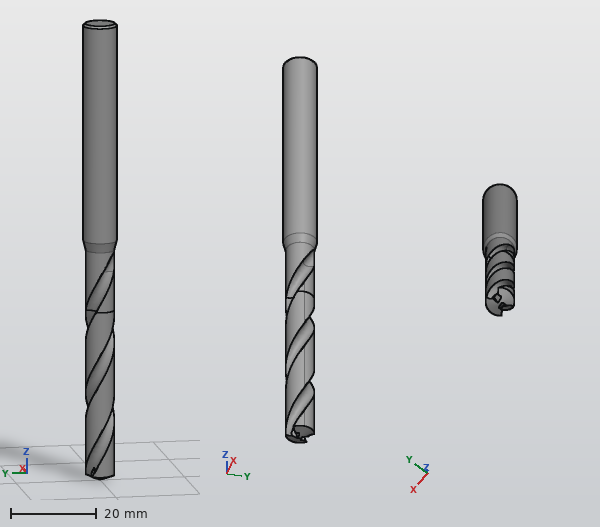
import cadquery as cq
import math

overall_length = 109.0
shank_diameter = 8.0
shank_bottom = 57.2
shank_chamfer = 0.5
neck_diameter = 6.8
neck_top = 54.9
cutting_top = 40.5
point_angle = 140.0

flute_count = 2
flute_pitch = 37.6
flute_radius = 1.9
flute_center_radius = 3.5
flute_end = 49.9
flute_runout = 6.0
flute_runout_lift = 1.4
flute_start_angle = -87.0

gash_height = 3.0
gash_near_side = -0.3
gash_far_side = 1.2
gash_web_half = 0.3
gash_top_depth = 1.5
gash_mouth = 2.4

shank_radius = shank_diameter / 2
neck_radius = neck_diameter / 2
point_height = neck_radius / math.tan(math.radians(point_angle / 2))
flute_spacing = 360.0 / flute_count


def make_flute(start_angle):
    """Helical flute cutter and the straight run-out that leaves it, leaning outward."""
    helix_turn = 360.0 * flute_end / flute_pitch
    helix = (
        cq.Workplane("XY")
        .moveTo(flute_center_radius, 0)
        .circle(flute_radius)
        .twistExtrude(flute_end, helix_turn)
        .rotate((0, 0, 0), (0, 0, 1), start_angle)
    )
    tangent_shift = 2 * math.pi * flute_center_radius * flute_runout / flute_pitch
    section = cq.Wire.makeCircle(
        flute_radius, cq.Vector(flute_center_radius, 0, flute_end), cq.Vector(0, 0, 1)
    )
    direction = cq.Vector(flute_runout_lift, tangent_shift, flute_runout)
    runout = cq.Solid.extrudeLinear(section, [], direction)
    runout = runout.rotate(cq.Vector(0, 0, 0), cq.Vector(0, 0, 1), start_angle + helix_turn)
    return helix, cq.Workplane(runout)


def cut_flutes(body):
    for index in range(flute_count):
        helix, runout = make_flute(flute_start_angle + index * flute_spacing)
        body = body.cut(helix).cut(runout)
    return body


def make_shank():
    """Chamfered shank, conical shoulder and neck, with the upper ends of the flutes."""
    outline = (
        cq.Workplane("XZ")
        .moveTo(0, cutting_top)
        .lineTo(neck_radius, cutting_top)
        .lineTo(neck_radius, neck_top)
        .lineTo(shank_radius, shank_bottom)
        .lineTo(shank_radius, overall_length - shank_chamfer)
        .lineTo(shank_radius - shank_chamfer, overall_length)
        .lineTo(0, overall_length)
        .close()
    )
    return cut_flutes(outline.revolve(360, (0, 0, 0), (0, 1, 0)))


def cut_gashes(body):
    """Notches from the flutes towards the axis that thin the web at the point."""
    gash = (
        cq.Workplane("YZ", origin=(gash_near_side, 0, 0))
        .moveTo(-gash_web_half, 0)
        .lineTo(-gash_top_depth, gash_height)
        .lineTo(-gash_mouth, 0)
        .close()
        .extrude(gash_far_side - gash_near_side)
    )
    for index in range(flute_count):
        body = body.cut(gash.rotate((0, 0, 0), (0, 0, 1), index * flute_spacing))
    return body


def make_cutting_end():
    """Fluted cutting length with a thinned conical point."""
    outline = (
        cq.Workplane("XZ")
        .lineTo(neck_radius, point_height)
        .lineTo(neck_radius, cutting_top)
        .lineTo(0, cutting_top)
        .close()
    )
    return cut_gashes(cut_flutes(outline.revolve(360, (0, 0, 0), (0, 1, 0))))


shank = make_shank().solids()
cutting_end = make_cutting_end().solids()
result = cq.Compound.makeCompound([shank.val(), cutting_end.val()])